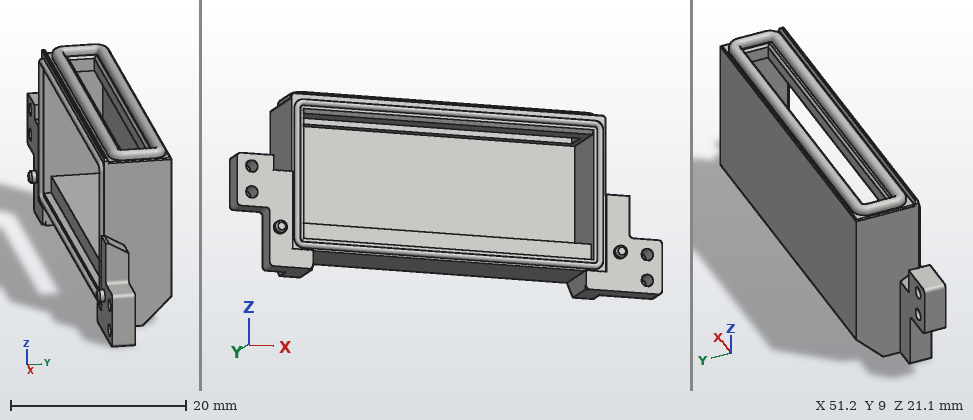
import cadquery as cq


box_half_width = 18.9
box_front = -3.35
box_back = 4.5
box_top = 9.6
base_bottom = -10.55
bottom_chamfer = 3.4
arch_half_width = 16.45
arch_height = 2.2
arch_top = base_bottom + arch_height
top_edge_chamfer = 0.15

lip_height = 0.45
lip_thickness = 0.3
lip_slope_run = 0.2
lip_end_chamfer = 0.3
lip_front_chamfer = 0.1

cavity_half_width = 17.45
cavity_back = 3.55
ceiling = 7.8
shelf_top = -4.95
shelf_front = -2.45
sill_top = -6.95
front_window_chamfer = 0.45
top_window_half_width = 16.75
top_window_front = -0.5
top_window_back = 2.4
top_window_chamfer = 0.3

bracket_half_width = 25.6
bracket_front = -3.7
bracket_back = -1.0
bracket_side = 21.65
shoulder_top = 0.7
shoulder_drop = 1.35
left_tab_top = 2.45
left_tab_bottom = -3.75
left_tab_inner = -21.2
right_tab_top = -4.2
corner_radius = 0.45

hole_diameter = 1.4
hole_pitch = 3.0
hole_x = 23.8
left_hole_top = 0.95
right_hole_top = -6.0
pin_x = 20.5
pin_z = -6.0
pin_diameter = 1.45
pin_tip = -4.5
pin_chamfer = 0.25

top_seal_half_width = 18.55
top_seal_front = -2.45
top_seal_back = 4.15
top_seal_width = 1.35
top_seal_crest = 10.55
top_seal_corner = 1.6
front_seal_half_width = 18.6
front_seal_bottom = -8.1
front_seal_top = 9.3
front_seal_width = 0.7
front_seal_crest = -3.8
front_seal_corner = 1.1


def block(x_range, y_range, z_range):
    """Rectangular block between the given limits."""
    size = [high - low for low, high in (x_range, y_range, z_range)]
    corner = (x_range[0], y_range[0], z_range[0])
    return cq.Workplane("XY").box(*size, centered=False).translate(corner)


def along_x(points, x_start, x_end):
    """Prism with a (Y, Z) outline, running along X."""
    outline = cq.Workplane("YZ", origin=(x_start, 0, 0)).polyline(points).close()
    return outline.extrude(x_end - x_start)


def along_y(points, y_front, y_back):
    """Prism with an (X, Z) outline, running along Y."""
    outline = cq.Workplane("XZ", origin=(0, y_front, 0)).polyline(points).close()
    return outline.extrude(y_front - y_back)


def box_shell():
    """Outer box with chamfered back, chamfered top edges and an arched underside."""
    profile = [
        (box_front, base_bottom),
        (box_back - bottom_chamfer, base_bottom),
        (box_back, base_bottom + bottom_chamfer),
        (box_back, box_top),
        (box_front, box_top),
    ]
    shell = along_x(profile, -box_half_width, box_half_width)
    shell = shell.faces(">Z").edges("|Y or >Y").chamfer(top_edge_chamfer)
    arch = block(
        (-arch_half_width, arch_half_width),
        (bracket_front, box_back),
        (base_bottom, arch_top),
    )
    return shell.cut(arch)


def front_lip():
    """Raised lip with a sloping back and chamfered front and end edges."""
    lip_top = box_top + lip_height
    lip_back = box_front + lip_thickness
    profile = [
        (box_front, box_top - top_edge_chamfer),
        (box_front, lip_top),
        (lip_back, lip_top),
        (lip_back + lip_slope_run, box_top),
        (lip_back + lip_slope_run, box_top - top_edge_chamfer),
    ]
    lip = along_x(profile, -box_half_width, box_half_width)
    lip = lip.faces(">Z").edges("|Y").chamfer(lip_end_chamfer)
    return lip.faces(">Z").edges("<Y").chamfer(lip_front_chamfer)


def cavity():
    """Stepped inner space, open to the front, with a chamfer at the head of the front window."""
    profile = [
        (box_front, sill_top),
        (shelf_front, sill_top),
        (shelf_front, shelf_top),
        (cavity_back, shelf_top),
        (cavity_back, ceiling),
        (box_front + front_window_chamfer, ceiling),
        (box_front, ceiling + front_window_chamfer),
    ]
    return along_x(profile, -cavity_half_width, cavity_half_width)


def top_window():
    """Opening through the top wall, widened by a chamfer at the top face."""
    opening = block(
        (-top_window_half_width, top_window_half_width),
        (top_window_front, top_window_back),
        (ceiling, box_top),
    )
    flare = (
        opening.faces(">Z").wires().toPending()
        .offset2D(top_window_chamfer, "intersection")
        .extrude(-top_window_chamfer, taper=45)
    )
    return opening.union(flare)


def left_bracket():
    """Plate with a high outer tab and a foot reaching under the box."""
    outline = [
        (-bracket_half_width, left_tab_top),
        (left_tab_inner, left_tab_top),
        (left_tab_inner, shoulder_top),
        (-box_half_width, shoulder_top),
        (-box_half_width, arch_top),
        (-arch_half_width, arch_top),
        (-arch_half_width, base_bottom),
        (-bracket_side, base_bottom),
        (-bracket_side, left_tab_bottom),
        (-bracket_half_width, left_tab_bottom),
    ]
    plate = along_y(outline, bracket_front, bracket_back)
    rounded = [
        (-bracket_half_width, left_tab_top),
        (-bracket_half_width, left_tab_bottom),
        (-bracket_side, left_tab_bottom),
        (-bracket_side, base_bottom),
        (-arch_half_width, base_bottom),
    ]
    return round_corners(plate, rounded).cut(shoulder_slope(left_tab_inner, -box_half_width))


def right_bracket():
    """Plate with a low outer tab that runs on into a foot reaching under the box."""
    outline = [
        (box_half_width, shoulder_top),
        (bracket_side, shoulder_top),
        (bracket_side, right_tab_top),
        (bracket_half_width, right_tab_top),
        (bracket_half_width, base_bottom),
        (arch_half_width, base_bottom),
        (arch_half_width, arch_top),
        (box_half_width, arch_top),
    ]
    plate = along_y(outline, bracket_front, bracket_back)
    rounded = [
        (bracket_side, right_tab_top),
        (bracket_half_width, right_tab_top),
        (bracket_half_width, base_bottom),
        (arch_half_width, base_bottom),
    ]
    return round_corners(plate, rounded).cut(shoulder_slope(box_half_width, bracket_side))


def round_corners(plate, corners):
    """Fillet the plate edges that run along Y through the given (X, Z) corners."""
    middle = (bracket_front + bracket_back) / 2
    for x, z in corners:
        edge = cq.selectors.NearestToPointSelector((x, middle, z))
        plate = plate.edges("|Y").edges(edge).fillet(corner_radius)
    return plate


def shoulder_slope(x_start, x_end):
    """Wedge that slopes a bracket shoulder down to the back from the plane of the box front."""
    wedge = [
        (box_front, shoulder_top),
        (bracket_back, shoulder_top),
        (bracket_back, shoulder_top - shoulder_drop),
    ]
    return along_x(wedge, x_start, x_end)


def screw_holes():
    """Two through holes in each tab, one below the other."""
    centers = []
    for x, top in ((-hole_x, left_hole_top), (hole_x, right_hole_top)):
        centers += [(x, top), (x, top - hole_pitch)]
    plane = cq.Workplane("XZ", origin=(0, bracket_back, 0))
    return plane.pushPoints(centers).circle(hole_diameter / 2).extrude(bracket_back - bracket_front)


def locating_pins():
    """Chamfered pins standing on the front of the brackets."""
    plane = cq.Workplane("XZ", origin=(0, bracket_front, 0))
    pins = plane.pushPoints([(-pin_x, pin_z), (pin_x, pin_z)]).circle(pin_diameter / 2)
    return pins.extrude(bracket_front - pin_tip).faces("<Y").chamfer(pin_chamfer)


def make_housing():
    """Box, lip and brackets in one piece."""
    housing = box_shell().union(front_lip()).union(left_bracket()).union(right_bracket())
    housing = housing.cut(cavity()).cut(top_window()).cut(screw_holes())
    return housing.union(locating_pins())


def make_seal(base, length, breadth, outer_corner, width, height):
    """Rounded rectangular ring standing on the base plane, with a half-round crest."""
    crest_radius = width / 2
    side_height = height - crest_radius
    half_length = length / 2
    straight_x = half_length - outer_corner
    straight_y = breadth / 2 - outer_corner
    inner_x = half_length - width
    middle_corner = outer_corner - crest_radius

    middle_x = half_length - crest_radius
    middle_y = breadth / 2 - crest_radius
    path = (
        base.moveTo(middle_x, 0)
        .lineTo(middle_x, straight_y)
        .radiusArc((straight_x, middle_y), -middle_corner)
        .lineTo(-straight_x, middle_y)
        .radiusArc((-middle_x, straight_y), -middle_corner)
        .lineTo(-middle_x, -straight_y)
        .radiusArc((-straight_x, -middle_y), -middle_corner)
        .lineTo(straight_x, -middle_y)
        .radiusArc((middle_x, -straight_y), -middle_corner)
        .close()
    )
    section_plane = cq.Plane(
        origin=base.plane.origin, xDir=base.plane.xDir, normal=base.plane.yDir * -1
    )
    section = (
        cq.Workplane(section_plane)
        .moveTo(inner_x, 0)
        .lineTo(half_length, 0)
        .lineTo(half_length, side_height)
        .threePointArc((middle_x, height), (inner_x, side_height))
        .close()
    )
    return section.sweep(path)


def make_top_seal():
    """Seal around the top window, standing on the top face of the box."""
    center_y = (top_seal_front + top_seal_back) / 2
    return make_seal(
        cq.Workplane("XY", origin=(0, center_y, box_top)),
        2 * top_seal_half_width,
        top_seal_back - top_seal_front,
        top_seal_corner,
        top_seal_width,
        top_seal_crest - box_top,
    )


def make_front_seal():
    """Seal around the front window, standing on the front face of the box."""
    center_z = (front_seal_bottom + front_seal_top) / 2
    return make_seal(
        cq.Workplane("XZ", origin=(0, box_front, center_z)),
        2 * front_seal_half_width,
        front_seal_top - front_seal_bottom,
        front_seal_corner,
        front_seal_width,
        box_front - front_seal_crest,
    )


housing = make_housing()
top_seal = make_top_seal()
front_seal = make_front_seal()

result = cq.Compound.makeCompound([housing.val(), top_seal.val(), front_seal.val()])